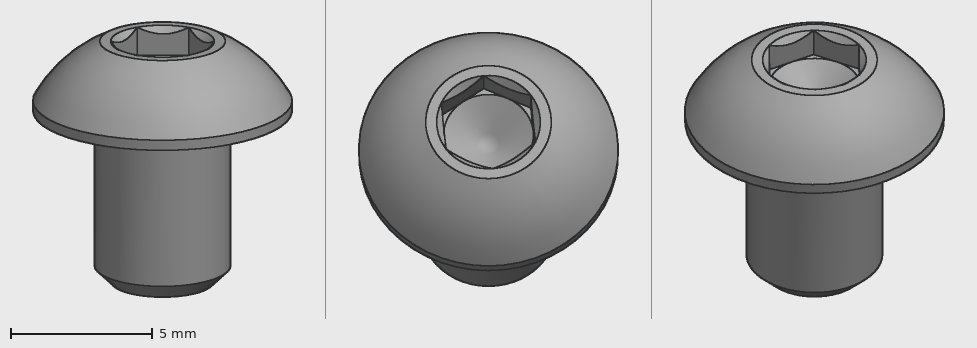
import cadquery as cq
import math

head_diameter = 9.17
head_height = 2.57
head_top_diameter = 4.44
rim_height = 0.38

shank_diameter = 4.82
shank_length = 6.355
tip_chamfer = 0.6

socket_flats = 3.17
socket_corners = socket_flats / math.cos(math.pi / 6)
socket_depth = 1.04
drill_point_angle = 118.0
lead_in_angle = 45.0


def make_body():
    """Revolve the head and shank outline about the Z axis."""
    head_radius = head_diameter / 2
    top_radius = head_top_diameter / 2
    shank_radius = shank_diameter / 2

    dome_center = (
        head_height**2 + top_radius**2 - rim_height**2 - head_radius**2
    ) / (2 * (head_height - rim_height))
    dome_radius = math.hypot(top_radius, head_height - dome_center)
    middle_height = (rim_height + head_height) / 2
    middle_radius = math.sqrt(dome_radius**2 - (middle_height - dome_center)**2)
    return (
        cq.Workplane("XZ")
        .moveTo(0, -shank_length)
        .lineTo(shank_radius - tip_chamfer, -shank_length)
        .lineTo(shank_radius, tip_chamfer - shank_length)
        .lineTo(shank_radius, 0)
        .lineTo(head_radius, 0)
        .lineTo(head_radius, rim_height)
        .threePointArc((middle_radius, middle_height), (top_radius, head_height))
        .lineTo(0, head_height)
        .close()
        .revolve(360, (0, 0, 0), (0, 1, 0))
    )


def make_cone(radius, angle, top):
    """Downward-pointing cone whose side slopes at the given angle."""
    depth = radius * math.tan(math.radians(angle))
    return (
        cq.Workplane("XZ")
        .moveTo(0, top)
        .lineTo(radius, top)
        .lineTo(0, top - depth)
        .close()
        .revolve(360, (0, 0, 0), (0, 1, 0))
    )


def make_socket():
    """Hexagonal recess with a conical lead-in and a conical bottom."""
    floor = head_height - socket_depth
    hexagon = (
        cq.Workplane("XY", origin=(0, 0, floor))
        .transformed(rotate=(0, 0, 90))
        .polygon(6, socket_corners)
        .extrude(socket_depth)
    )
    lead_in = make_cone(socket_corners / 2, lead_in_angle, head_height)
    bottom_angle = 90 - drill_point_angle / 2
    bottom = make_cone(socket_flats / 2, bottom_angle, floor)
    return hexagon.union(lead_in).union(bottom)


result = make_body().cut(make_socket())